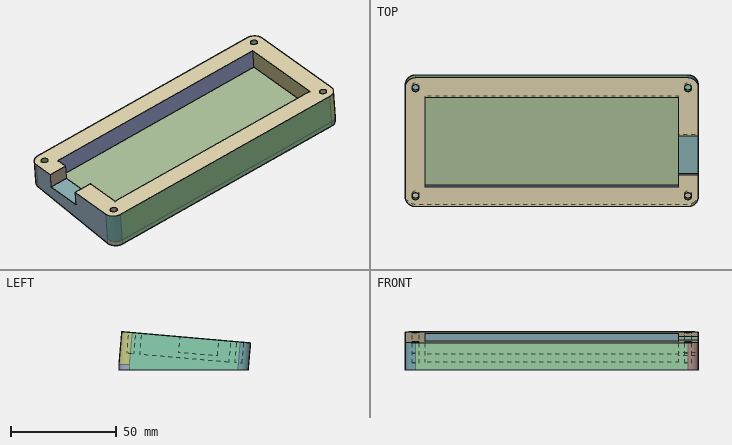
import cadquery as cq
import math

tilt_angle = 5.0
length = 139.6
width = 61.6
total_height = 18.32
total_depth = 62.73
corner_radius = 5.0

rim_width = 9.5
pocket_depth = 10.0
notch_width = 18.5
notch_offset = -6.3
notch_depth = 7.5

hole_diameter = 3.4
hole_depth = 10.0

tilt = math.radians(tilt_angle)
top_center_height = total_height - width / 2 * math.sin(tilt)
back_overhang = total_depth - width * math.cos(tilt)
vertical_back_height = total_height - back_overhang / math.tan(tilt)
clearance = 2 * total_height

top_plane = cq.Plane(
    origin=(0, 0, top_center_height),
    xDir=(1, 0, 0),
    normal=(0, -math.sin(tilt), math.cos(tilt)),
)


def slab_from(height):
    """Large block whose underside lies at the given height."""
    return (
        cq.Workplane("XY")
        .workplane(offset=height)
        .rect(2 * length, 2 * total_depth)
        .extrude(clearance)
    )


def make_body():
    """Tilted rounded block with a flat base and a vertical foot along its back."""
    block = (
        cq.Workplane(top_plane)
        .rect(length, width)
        .extrude(-clearance)
        .edges(cq.selectors.ParallelDirSelector(top_plane.zDir))
        .fillet(corner_radius)
    )
    upper = block.intersect(slab_from(vertical_back_height))
    foot_column = upper.faces("<Z").wires().toPending().workplane().extrude(vertical_back_height)
    foot = block.intersect(foot_column)
    return upper.union(foot)


def make_pocket():
    """Rectangular recess inside an even rim."""
    return (
        cq.Workplane(top_plane)
        .rect(length - 2 * rim_width, width - 2 * rim_width)
        .extrude(-pocket_depth)
    )


def make_notch():
    """Opening through the +X rim into the pocket."""
    return (
        cq.Workplane(top_plane)
        .center((length - rim_width) / 2, notch_offset)
        .rect(rim_width, notch_width)
        .extrude(-notch_depth)
    )


def make_screw_holes():
    """One blind hole in each corner."""
    return (
        cq.Workplane(top_plane)
        .rect(length - 2 * corner_radius, width - 2 * corner_radius, forConstruction=True)
        .vertices()
        .circle(hole_diameter / 2)
        .extrude(-hole_depth)
    )


result = make_body().cut(make_pocket()).cut(make_notch()).cut(make_screw_holes())